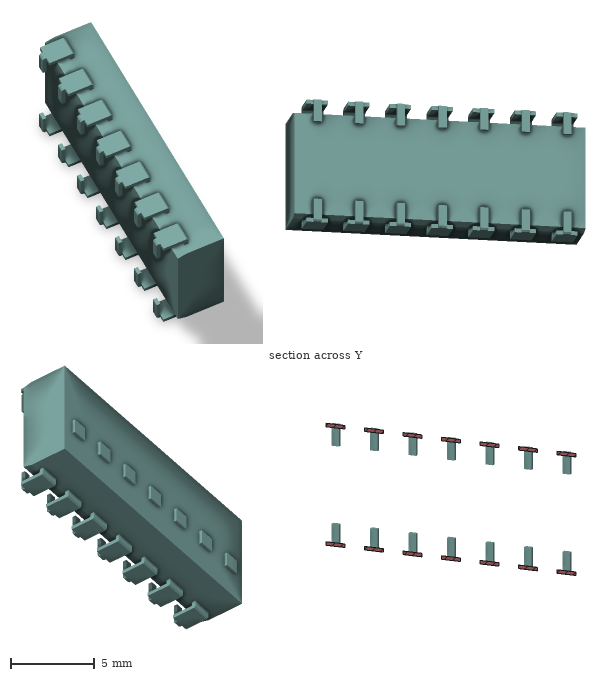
import cadquery as cq

body_length = 17.78
body_depth = 3.1
body_height = 6.6
bevel_depth = 0.59
bevel_height = 0.16

lead_count = 7
lead_pitch = 2.55
lead_span = 7.63
lead_thickness = 0.25
lead_width = 1.3
lead_reach = 1.92
standoff = 0.9
foot_width = 0.48
foot_length = 1.39
outer_bend_bevel = 0.1
inner_bend_radius = 0.1

actuator_side = 1.0
actuator_height = 0.2
actuator_z = -1.03

foot_front = -standoff
foot_back = foot_front + lead_thickness
lead_back = foot_front + lead_reach
lead_top = lead_span / 2
plate_bottom = lead_top - lead_thickness
body_top = body_height / 2
lead_positions = [(i - (lead_count - 1) / 2) * lead_pitch for i in range(lead_count)]


def block(x_size, y_range, z_range):
    """Box centred on X that fills the given Y and Z ranges."""
    y_min, y_max = y_range
    z_min, z_max = z_range
    return (
        cq.Workplane("XY")
        .box(x_size, y_max - y_min, z_max - z_min, centered=(True, False, False))
        .translate((0, y_min, z_min))
    )


def make_body():
    """Housing with its two long front edges bevelled."""
    bevel_z = body_top - bevel_height
    profile = [
        (body_depth, -body_top),
        (body_depth, body_top),
        (bevel_depth, body_top),
        (0, bevel_z),
        (0, -bevel_z),
        (bevel_depth, -body_top),
    ]
    return cq.Workplane("YZ").polyline(profile).close().extrude(body_length / 2, both=True)


def make_lead():
    """Upper lead: wide angled strip out of the housing, then a narrow foot folded down."""
    strip_outline = [
        (foot_back, plate_bottom),
        (foot_back, lead_top),
        (lead_back, lead_top),
        (lead_back, body_top),
        (lead_back - lead_thickness, body_top),
        (lead_back - lead_thickness, plate_bottom),
    ]
    strip = cq.Workplane("YZ").polyline(strip_outline).close().extrude(lead_width / 2, both=True)
    strip = strip.edges("|X and >Y and >Z").chamfer(outer_bend_bevel)
    inner_corner = (0, lead_back - lead_thickness, plate_bottom)
    strip = strip.edges(cq.NearestToPointSelector(inner_corner)).fillet(inner_bend_radius)

    foot = block(foot_width, (foot_front, foot_back), (lead_top - foot_length, lead_top))
    foot = foot.edges("|X and <Y and >Z").chamfer(outer_bend_bevel)
    return strip.union(foot)


def make_actuator():
    """Square actuator standing on the back face."""
    return block(
        actuator_side,
        (body_depth, body_depth + actuator_height),
        (actuator_z - actuator_side / 2, actuator_z + actuator_side / 2),
    )


upper_lead = make_lead()
lower_lead = upper_lead.mirror("XY")
actuator = make_actuator()

result = make_body()
for x in lead_positions:
    for piece in (upper_lead, lower_lead, actuator):
        result = result.union(piece.translate((x, 0, 0)))